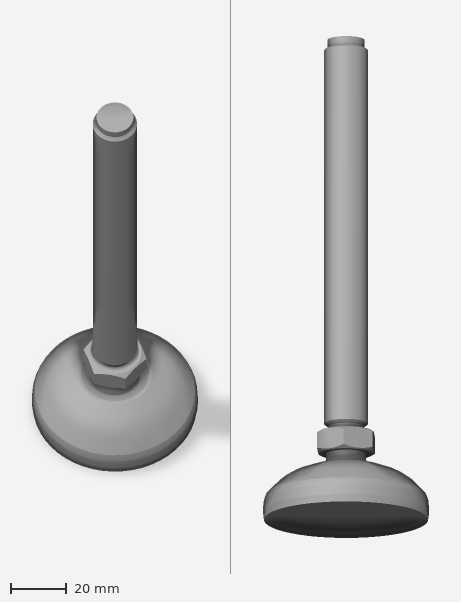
import cadquery as cq
import math


TOTAL_HEIGHT = 177.2

MAX_RADIUS = 30.0
PAD_HEIGHT = 2.7
PAD_BOTTOM_RADIUS = 29.6
WALL_TOP_Z = 6.4
WALL_TOP_RADIUS = 29.8
DOME_EDGE_Z = 9.0
DOME_EDGE_RADIUS = 28.9
SHOULDER_MID_RADIUS = 29.5
DOME_MID_Z = 15.5
DOME_MID_RADIUS = 22.0
FOOT_TOP_Z = 19.1
FOOT_TOP_RADIUS = 13.3
RECESS_RADIUS = 12.0
RECESS_DEPTH = 0.4
SOCKET_DEPTH = 5.3

PLUG_RADIUS = 16.1 / 2
FLARE_RADIUS = 18.3 / 2
FLARE_TOP_Z = 22.2
NECK_RADIUS = 14.4 / 2
HEX_BOTTOM_Z = 24.3
HEX_HEIGHT = 8.2
HEX_ACROSS_FLATS = 20.0
HEX_FACE_RADIUS = 9.5
HEX_CHAMFER_ANGLE = 30.0
ROD_RADIUS = 16.0 / 2
ROD_BOTTOM_Z = 34.4
ROD_CHAMFER = 1.0
UNDERCUT_RADIUS = 13.0 / 2
TIP_RADIUS = 13.3 / 2
TIP_HEIGHT = 2.8

RECESS_FLOOR_Z = FOOT_TOP_Z - RECESS_DEPTH
SOCKET_FLOOR_Z = RECESS_FLOOR_Z - SOCKET_DEPTH
HEX_TOP_Z = HEX_BOTTOM_Z + HEX_HEIGHT
HEX_CORNER_RADIUS = HEX_ACROSS_FLATS / math.sqrt(3)
ROD_TOP_Z = TOTAL_HEIGHT - TIP_HEIGHT


def revolve_about_z(profile):
    """Revolve a closed XZ profile, drawn as (radius, height), about Z."""
    return profile.close().revolve(360, (0, 0, 0), (0, 1, 0))


def make_pad():
    profile = (
        cq.Workplane("XZ")
        .lineTo(PAD_BOTTOM_RADIUS, 0)
        .lineTo(MAX_RADIUS, PAD_HEIGHT)
        .lineTo(0, PAD_HEIGHT)
    )
    return revolve_about_z(profile)


def make_foot():
    shoulder_mid = (SHOULDER_MID_RADIUS, (WALL_TOP_Z + DOME_EDGE_Z) / 2)
    profile = (
        cq.Workplane("XZ")
        .moveTo(0, PAD_HEIGHT)
        .lineTo(MAX_RADIUS, PAD_HEIGHT)
        .lineTo(WALL_TOP_RADIUS, WALL_TOP_Z)
        .threePointArc(shoulder_mid, (DOME_EDGE_RADIUS, DOME_EDGE_Z))
        .threePointArc((DOME_MID_RADIUS, DOME_MID_Z), (FOOT_TOP_RADIUS, FOOT_TOP_Z))
        .lineTo(RECESS_RADIUS, FOOT_TOP_Z)
        .lineTo(RECESS_RADIUS, RECESS_FLOOR_Z)
        .lineTo(PLUG_RADIUS, RECESS_FLOOR_Z)
        .lineTo(PLUG_RADIUS, SOCKET_FLOOR_Z)
        .lineTo(0, SOCKET_FLOOR_Z)
    )
    return revolve_about_z(profile)


def make_stud_shaft():
    """The round part of the stud: plug, flare, neck, undercut, rod and tip."""
    profile = (
        cq.Workplane("XZ")
        .moveTo(0, SOCKET_FLOOR_Z)
        .lineTo(PLUG_RADIUS, SOCKET_FLOOR_Z)
        .lineTo(PLUG_RADIUS, RECESS_FLOOR_Z)
        .lineTo(FLARE_RADIUS, RECESS_FLOOR_Z)
        .lineTo(NECK_RADIUS, FLARE_TOP_Z)
        .lineTo(NECK_RADIUS, HEX_TOP_Z)
        .lineTo(UNDERCUT_RADIUS, HEX_TOP_Z)
        .lineTo(UNDERCUT_RADIUS, ROD_BOTTOM_Z)
        .lineTo(ROD_RADIUS, ROD_BOTTOM_Z + ROD_CHAMFER)
        .lineTo(ROD_RADIUS, ROD_TOP_Z - ROD_CHAMFER)
        .lineTo(TIP_RADIUS, ROD_TOP_Z)
        .lineTo(TIP_RADIUS, TOTAL_HEIGHT)
        .lineTo(0, TOTAL_HEIGHT)
    )
    return revolve_about_z(profile)


def make_hex_collar():
    """Hexagon with corners on X, its corners chamfered at both ends."""
    chamfer_width = HEX_CORNER_RADIUS - HEX_FACE_RADIUS
    chamfer_height = chamfer_width * math.tan(math.radians(HEX_CHAMFER_ANGLE))
    hexagon = (
        cq.Workplane("XY")
        .workplane(offset=HEX_BOTTOM_Z)
        .polygon(6, 2 * HEX_CORNER_RADIUS)
        .extrude(HEX_HEIGHT)
    )
    chamfer_envelope = revolve_about_z(
        cq.Workplane("XZ")
        .moveTo(0, HEX_BOTTOM_Z)
        .lineTo(HEX_FACE_RADIUS, HEX_BOTTOM_Z)
        .lineTo(HEX_CORNER_RADIUS, HEX_BOTTOM_Z + chamfer_height)
        .lineTo(HEX_CORNER_RADIUS, HEX_TOP_Z - chamfer_height)
        .lineTo(HEX_FACE_RADIUS, HEX_TOP_Z)
        .lineTo(0, HEX_TOP_Z)
    )
    return hexagon.intersect(chamfer_envelope)


pad = make_pad()
foot = make_foot()
stud = make_stud_shaft().union(make_hex_collar())

result = cq.Compound.makeCompound([pad.val(), foot.val(), stud.val()])